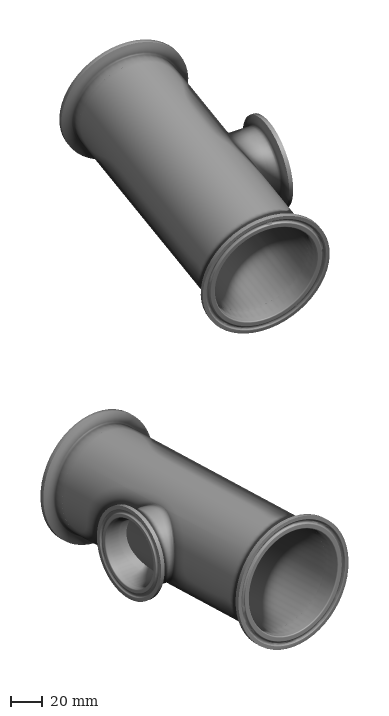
import cadquery as cq
import math

run_outer_diameter = 76.2
branch_outer_diameter = 50.8
wall = 1.65
total_length = 196.8
branch_face_offset = 54.0
junction_fillet = 1.0

run_flange_diameter = 90.9
branch_flange_diameter = 63.9
ferrule_length = 12.7
rim_thickness = 2.85
cone_angle = 20.0
neck_fillet = 1.6

groove_rim_distance = 4.1
groove_radius = 1.3
groove_lip_fillet = 0.5
bore_edge_fillet = 0.8

run_radius = run_outer_diameter / 2
branch_radius = branch_outer_diameter / 2
run_length = total_length - 2 * ferrule_length
branch_end = branch_face_offset - ferrule_length


def cylinder_x(radius):
    """Cylinder along the run axis, as long as the tee body."""
    return cq.Workplane("YZ").circle(radius).extrude(run_length / 2, both=True)


def cylinder_y(radius):
    """Cylinder along the branch axis, from the run axis to the branch end."""
    return cq.Workplane("XZ").circle(radius).extrude(-branch_end)


def make_tee_body():
    """Straight run with a side branch, both bored through."""
    outside = cylinder_x(run_radius).union(cylinder_y(branch_radius))
    junction = outside.edges("not %LINE").edges("not %CIRCLE")
    outside = junction.fillet(junction_fillet)
    return outside.cut(cylinder_x(run_radius - wall)).cut(cylinder_y(branch_radius - wall))


def make_ferrule(tube_radius, flange_diameter):
    """Clamp ferrule about Z: gasket face at z = 0, neck end at z = ferrule_length."""
    flange_radius = flange_diameter / 2
    bore_radius = tube_radius - wall

    cone_slope = math.radians(cone_angle)
    corner_z = rim_thickness + (flange_radius - tube_radius) * math.tan(cone_slope)
    turn = math.pi / 2 - cone_slope
    tangent_length = neck_fillet * math.tan(turn / 2)
    cone_end = (
        tube_radius + tangent_length * math.cos(cone_slope),
        corner_z - tangent_length * math.sin(cone_slope),
    )
    neck_start = (tube_radius, corner_z + tangent_length)
    arc_middle = (
        tube_radius + neck_fillet * (1 - math.cos(turn / 2)),
        neck_start[1] - neck_fillet * math.sin(turn / 2),
    )
    groove_center = flange_radius - groove_rim_distance

    ferrule = (
        cq.Workplane("XZ")
        .moveTo(bore_radius, 0)
        .lineTo(groove_center - groove_radius, 0)
        .threePointArc((groove_center, groove_radius), (groove_center + groove_radius, 0))
        .lineTo(flange_radius, 0)
        .lineTo(flange_radius, rim_thickness)
        .lineTo(*cone_end)
        .threePointArc(arc_middle, neck_start)
        .lineTo(tube_radius, ferrule_length)
        .lineTo(bore_radius, ferrule_length)
        .close()
        .revolve(360, (0, 0), (0, 1))
    )
    bore_edge = cq.selectors.RadiusNthSelector(0)
    groove_lips = cq.selectors.SumSelector(
        cq.selectors.RadiusNthSelector(1),
        cq.selectors.RadiusNthSelector(2),
    )
    ferrule = ferrule.faces("<Z").edges(bore_edge).fillet(bore_edge_fillet)
    return ferrule.faces("<Z").edges(groove_lips).fillet(groove_lip_fillet)


tee_body = make_tee_body()

run_ferrules = []
for side in (-1, 1):
    ferrule = make_ferrule(run_radius, run_flange_diameter)
    ferrule = ferrule.rotate((0, 0, 0), (0, 1, 0), -90 * side)
    run_ferrules.append(ferrule.translate((side * total_length / 2, 0, 0)))

branch_ferrule = make_ferrule(branch_radius, branch_flange_diameter)
branch_ferrule = branch_ferrule.rotate((0, 0, 0), (1, 0, 0), 90)
branch_ferrule = branch_ferrule.translate((0, branch_face_offset, 0))

result = cq.Compound.makeCompound([
    tee_body.val(),
    *[ferrule.val() for ferrule in run_ferrules],
    branch_ferrule.val(),
])